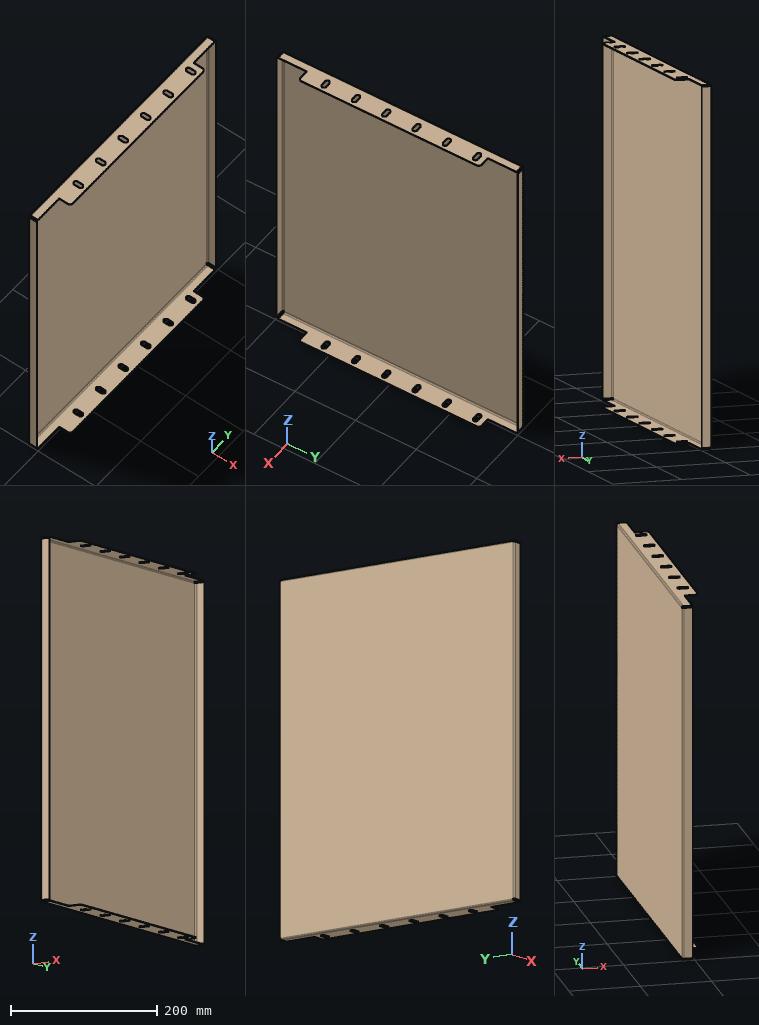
import cadquery as cq
import math

depth = 35.0
width = 399.0
height = 507.0

thickness = 1.0
inner_radius = 1.4
outer_radius = inner_radius + thickness

flange_depth = 15.0
tab_width = 299.0
tab_corner_radius = 5.0

slot_count = 6
slot_row_span = 250.0
slot_pitch = slot_row_span / (slot_count - 1)
slot_length = 15.0
slot_width = 7.0
slot_x = 21.0
slot_row_y = 10.5

flat_width = width - 2 * outer_radius
flat_height = height - 2 * outer_radius


def folded_profile(plane, flat_half, reach):
    """Bend and flange section: X is depth, the second axis runs outward across the panel."""
    diagonal = math.sqrt(0.5)
    bend_x = outer_radius
    outer_face = flat_half + outer_radius
    inner_face = flat_half + inner_radius
    outer_mid = (bend_x - outer_radius * diagonal, flat_half + outer_radius * diagonal)
    inner_mid = (bend_x - inner_radius * diagonal, flat_half + inner_radius * diagonal)
    return (
        cq.Workplane(plane)
        .moveTo(0, flat_half)
        .threePointArc(outer_mid, (bend_x, outer_face))
        .lineTo(reach, outer_face)
        .lineTo(reach, inner_face)
        .lineTo(bend_x, inner_face)
        .threePointArc(inner_mid, (thickness, flat_half))
        .close()
    )


def side_flange():
    """Plain flange along the +Y edge."""
    return folded_profile("XY", flat_width / 2, flange_depth).extrude(flat_height / 2, both=True)


def tab_flange():
    """Flange along the +Z edge, with its slotted mounting tab."""
    flange = folded_profile("XZ", flat_height / 2, flange_depth).extrude(flat_width / 2, both=True)
    sheet_bottom = height / 2 - thickness
    tab_start = outer_radius
    tab = (
        cq.Workplane("XY")
        .box(depth - tab_start, tab_width, thickness, centered=(False, True, False))
        .edges("|Z and >X")
        .fillet(tab_corner_radius)
        .translate((tab_start, 0, sheet_bottom))
    )
    slots = (
        cq.Workplane("XY", origin=(slot_x, slot_row_y, sheet_bottom))
        .rarray(5, slot_pitch, 1, slot_count)
        .slot2D(slot_length, slot_width)
        .extrude(thickness)
    )
    return flange.union(tab).cut(slots)


panel = cq.Workplane("XY").box(thickness, flat_width, flat_height, centered=(False, True, True))

left_flange = side_flange()
top_flange = tab_flange()

result = (
    panel
    .union(left_flange)
    .union(left_flange.mirror("XZ"))
    .union(top_flange)
    .union(top_flange.mirror("XY"))
)